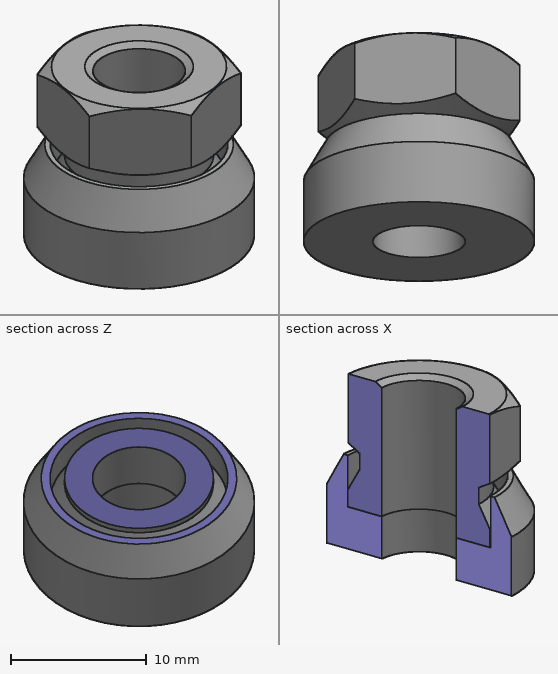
import cadquery as cq
import math

collar_radius = 8.5
collar_shoulder_height = 4.73
collar_height = 7.5
rim_outer_radius = 6.94
recess_radius = 6.53
recess_floor_height = 3.4

nut_top_height = 14.0
across_flats = 13.0
neck_radius = 5.49
neck_base_height = 6.6
flare_angle = 60.0
hex_base_height = 7.89
chamfer_angle = 30.0
top_face_radius = 6.45

bore_radius = 3.4
countersink_radius = 4.0

chamfer_slope = math.tan(math.radians(chamfer_angle))
corner_radius = across_flats / math.sqrt(3)


def revolve_profile(points):
    """Revolve an outline of (radius, height) points about the Z axis."""
    return cq.Workplane("XZ").polyline(points).close().revolve(360, (0, 0), (0, 1))


def make_collar():
    """Conical-shouldered collar with a round recess that receives the foot of the nut."""
    return revolve_profile([
        (bore_radius, 0),
        (collar_radius, 0),
        (collar_radius, collar_shoulder_height),
        (rim_outer_radius, collar_height),
        (recess_radius, collar_height),
        (recess_radius, recess_floor_height),
        (bore_radius, recess_floor_height),
    ])


def make_nut():
    """Hexagon nut, chamfered at both ends, standing in the recess on a flared foot."""
    top_chamfer_height = (corner_radius - top_face_radius) * chamfer_slope
    base_chamfer_height = (corner_radius - neck_radius) * chamfer_slope
    countersink_depth = (countersink_radius - bore_radius) * chamfer_slope
    flare_drop = (recess_radius - neck_radius) * math.tan(math.radians(flare_angle))

    turned_blank = revolve_profile([
        (bore_radius, recess_floor_height),
        (recess_radius, recess_floor_height),
        (recess_radius, neck_base_height - flare_drop),
        (neck_radius, neck_base_height),
        (neck_radius, hex_base_height),
        (corner_radius, hex_base_height + base_chamfer_height),
        (corner_radius, nut_top_height - top_chamfer_height),
        (top_face_radius, nut_top_height),
        (countersink_radius, nut_top_height),
        (bore_radius, nut_top_height - countersink_depth),
    ])
    hexagon = cq.Workplane("XY").polygon(6, 2 * corner_radius).extrude(nut_top_height)
    return turned_blank.intersect(hexagon)


collar = make_collar()
nut = make_nut()

result = cq.Compound.makeCompound([collar.val(), nut.val()])